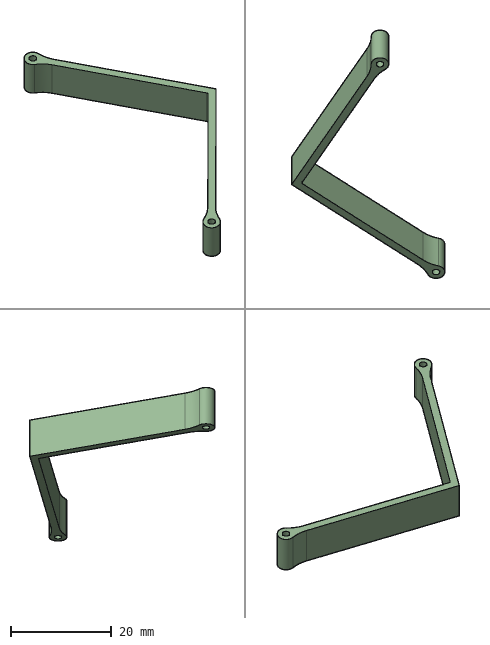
import cadquery as cq
import math

length = 61.5
depth = 25.3
height = 8.0
boss_diameter = 3.5
hole_diameter = 1.5
arm_thickness = 1.6
blend_radius = 7.7
inner_bend_radius = 0.35
angle_steps = 20

boss_radius = boss_diameter / 2
boss_x = length / 2 - boss_radius
boss_y = boss_radius
half_thickness = arm_thickness / 2

arm_angle = math.atan2(depth - boss_y, boss_x)
for _ in range(angle_steps):
    bend_y = depth - half_thickness / math.cos(arm_angle)
    arm_angle = math.atan2(bend_y - boss_y, boss_x)
inner_corner_y = 2 * bend_y - depth

blend_across = half_thickness + blend_radius
blend_reach = boss_radius + blend_radius
blend_along = math.sqrt(blend_reach**2 - blend_across**2)
boss_share = boss_radius / blend_reach


def left_arm_point(along, across):
    """Plan position measured from the left boss centre; positive across is outward."""
    cos_a = math.cos(arm_angle)
    sin_a = math.sin(arm_angle)
    return (
        -boss_x + along * cos_a - across * sin_a,
        boss_y + along * sin_a + across * cos_a,
    )


def blend_points(side):
    """Boss tangency, arc midpoint and arm tangency of one blend (side is +1 or -1)."""
    on_boss = (blend_along * boss_share, side * blend_across * boss_share)
    mid_angle = (math.atan2(blend_across, blend_along) + math.pi / 2) / 2
    middle = (
        blend_along - blend_radius * math.cos(mid_angle),
        side * (blend_across - blend_radius * math.sin(mid_angle)),
    )
    on_arm = (blend_along, side * half_thickness)
    return [left_arm_point(*point) for point in (on_boss, middle, on_arm)]


def left_half():
    """Left arm and boss, ending on the symmetry plane."""
    outer_boss, outer_middle, outer_arm = blend_points(1)
    inner_boss, inner_middle, inner_arm = blend_points(-1)
    return (
        cq.Workplane("XY")
        .moveTo(0, depth)
        .lineTo(*outer_arm)
        .threePointArc(outer_middle, outer_boss)
        .threePointArc(left_arm_point(-boss_radius, 0), inner_boss)
        .threePointArc(inner_middle, inner_arm)
        .lineTo(0, inner_corner_y)
        .close()
        .extrude(height)
    )


half = left_half()
bracket = half.union(half.mirror("YZ"))
inner_corner = cq.selectors.NearestToPointSelector((0, inner_corner_y, height / 2))
bracket = bracket.edges(inner_corner).fillet(inner_bend_radius)

holes = (
    cq.Workplane("XY")
    .pushPoints([(-boss_x, boss_y), (boss_x, boss_y)])
    .circle(hole_diameter / 2)
    .extrude(height)
)
result = bracket.cut(holes)